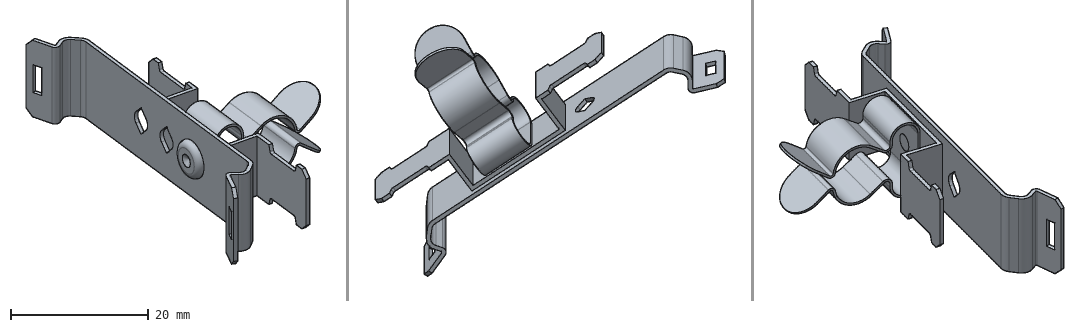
import cadquery as cq
import math

overall_length = 53.35

plate_thickness = 0.65
plate_height = 13.0
plate_flat_half = 20.55
plate_bend_radius = 1.45
slant_angle = 48
slant_length = 1.45
bulge_angle = 78
neck_length = 1.0
neck_radius = 0.5
tab_angle = 21
tab_chamfer = 1.2
slot_width = 1.5
slot_height = 4.7
slot_setback = 2.05

hole_pitch = 6.5
diamond_half_diagonal = 2.25
diamond_side_radius = 1.4

bracket_thickness = 0.65
bracket_height = 10.15
bracket_depth = 6.6
bracket_left = -3.05
bracket_right = 13.55
left_arm_end = -14.1
right_arm_end = 26.1
arm_end_chamfer = 1.1
notch_length = 7.0
notch_depth = 1.3
notch_slope = 0.4
notch_corner_radius = 0.4
left_notch_middle = -8.1
right_notch_middle = 20.05

spring_x = hole_pitch
spring_thickness = 0.4
spring_width = 8.1
web_half = 3.95
loop_outer_radius = 2.5
loop_drop = 0.6
valley_radius = 0.8
arm_angle = 35
arm_length = 2.6
jaw_radius = 3.9
jaw_end_angle = -82
mouth_radius = 0.55
lip_angle = 37
lip_length = 6.45
tip_flat = 0.1

rivet_head_radius = 3.05
rivet_head_height = 1.0
rivet_shank_radius = 1.35
dimple_radius = 1.0
dimple_depth = 0.65


def shift(point, angle, distance):
    """Point reached by moving a distance in a direction given in degrees."""
    turn = math.radians(angle)
    return (point[0] + distance * math.cos(turn), point[1] + distance * math.sin(turn))


def bend_point(point, heading, radius, turn):
    """Point reached on an arc that leaves a point along a heading and turns by an angle."""
    to_centre = heading + math.copysign(90, turn)
    centre = shift(point, to_centre, radius)
    return shift(centre, to_centre + 180 + turn, radius)


def path_end(start, heading, moves):
    """End point and heading of a path of straight runs ("run", length) and bends
    ("bend", radius, turn)."""
    point = start
    for kind, size, *turns in moves:
        if kind == "bend":
            point = bend_point(point, heading, size, turns[0])
            heading += turns[0]
        else:
            point = shift(point, heading, size)
    return point, heading


def bent_strip(plane, start, heading, moves, thickness, width):
    """Sheet strip of even thickness along a centreline path, centred across its width."""
    half = thickness / 2

    def both_sides(moves_done):
        point, direction = path_end(start, heading, moves_done)
        return shift(point, direction + 90, half), shift(point, direction - 90, half)

    ends = [both_sides([])]
    middles = []
    for count, (kind, size, *turns) in enumerate(moves):
        half_move = (kind, size, turns[0] / 2) if kind == "bend" else (kind, size / 2)
        middles.append((kind, both_sides(moves[:count] + [half_move])))
        ends.append(both_sides(moves[: count + 1]))

    outline = cq.Workplane(plane).moveTo(*ends[0][0])
    for (kind, middle), end in zip(middles, ends[1:]):
        outline = outline.threePointArc(middle[0], end[0]) if kind == "bend" else outline.lineTo(*end[0])
    outline = outline.lineTo(*ends[-1][1])
    for (kind, middle), end in zip(reversed(middles), reversed(ends[:-1])):
        outline = outline.threePointArc(middle[1], end[1]) if kind == "bend" else outline.lineTo(*end[1])
    return outline.close().extrude(width / 2, both=True)


def rivet_bore():
    """Cylinder on the rivet axis, from the front of the plate to the inside of the spring web."""
    length = plate_thickness + bracket_thickness + spring_thickness
    front = cq.Workplane("XZ", origin=(spring_x, -plate_thickness, 0))
    return front.circle(rivet_shank_radius).extrude(-length)


def diamond_hole(x):
    """Upright square hole through the plate, with its two side corners rounded."""
    reach = diamond_half_diagonal
    corners = [(x - reach, 0), (x, reach), (x + reach, 0), (x, -reach)]
    diamond = cq.Workplane("XZ").polyline(corners).close().extrude(plate_thickness)
    return diamond.edges("<X or >X").fillet(diamond_side_radius)


def make_plate():
    """Straight middle with a bulge and a slotted, chamfered tab bent at each end."""
    moves = [
        ("run", plate_flat_half),
        ("bend", plate_bend_radius, -slant_angle),
        ("run", slant_length),
        ("bend", plate_bend_radius, -bulge_angle),
        ("run", neck_length),
        ("bend", neck_radius, slant_angle + bulge_angle - tab_angle),
    ]
    start = (0, -plate_thickness / 2)
    tab_start, heading = path_end(start, 0, moves)
    end_corner_x = overall_length / 2 - plate_thickness / 2 * math.sin(math.radians(tab_angle))
    tab_length = (end_corner_x - tab_start[0]) / math.cos(math.radians(tab_angle))
    moves.append(("run", tab_length))
    tab_end = shift(tab_start, heading, tab_length)

    half = bent_strip("XY", start, 0, moves, plate_thickness, plate_height)
    along = cq.Vector(*shift((0, 0), heading, 1))
    across = cq.Vector(*shift((0, 0), heading + 90, 1))
    half = half.edges(cq.ParallelDirSelector(across)).edges(">X").chamfer(tab_chamfer)
    slot_middle = shift(tab_end, heading, -slot_setback)
    slot_plane = cq.Plane(origin=(*slot_middle, 0), xDir=along, normal=across)
    slot = cq.Workplane(slot_plane).rect(slot_width, slot_height).extrude(plate_thickness, both=True)
    half = half.cut(slot)
    plate = half.union(half.mirror("YZ"))
    for x in (-hole_pitch, 0):
        plate = plate.cut(diamond_hole(x))
    return plate.cut(rivet_bore())


def rim_notch(x):
    """Notch in the upper rim of an arm, with sloping walls and rounded floor corners."""
    top = bracket_height / 2
    floor = top - notch_depth
    half_top = notch_length / 2
    half_floor = half_top - notch_slope
    corners = [(x - half_top, top), (x - half_floor, floor), (x + half_floor, floor), (x + half_top, top)]
    notch = cq.Workplane("XZ").polyline(corners).close().extrude(-bracket_depth)
    return notch.edges("|Y and <Z").fillet(notch_corner_radius)


def make_bracket():
    """Hat profile with two arms, each notched in its upper and lower rim."""
    t = bracket_thickness
    corners = [
        (left_arm_end, bracket_depth),
        (bracket_left + t, bracket_depth),
        (bracket_left + t, t),
        (bracket_right - t, t),
        (bracket_right - t, bracket_depth),
        (right_arm_end, bracket_depth),
        (right_arm_end, bracket_depth - t),
        (bracket_right, bracket_depth - t),
        (bracket_right, 0),
        (bracket_left, 0),
        (bracket_left, bracket_depth - t),
        (left_arm_end, bracket_depth - t),
    ]
    bracket = cq.Workplane("XY").polyline(corners).close().extrude(bracket_height / 2, both=True)
    bracket = bracket.edges("|Y").edges("<X or >X").chamfer(arm_end_chamfer)
    for x in (left_notch_middle, right_notch_middle):
        notch = rim_notch(x)
        bracket = bracket.cut(notch).cut(notch.mirror("XY"))
    return bracket.cut(rivet_bore())


def make_spring():
    """Flat web with a loop, a round jaw and a flared lip above, mirrored below."""
    moves = [
        ("run", web_half),
        ("bend", loop_outer_radius - spring_thickness / 2, -180),
        ("run", loop_drop),
        ("bend", valley_radius, 90 + arm_angle),
        ("run", arm_length),
        ("bend", jaw_radius, jaw_end_angle - arm_angle),
        ("bend", mouth_radius, lip_angle - jaw_end_angle),
        ("run", lip_length),
    ]
    start = (bracket_thickness + spring_thickness / 2, 0)
    upper = bent_strip("YZ", start, 90, moves, spring_thickness, spring_width)
    across = cq.Vector(0, *shift((0, 0), lip_angle + 90, 1))
    tip_radius = (spring_width - tip_flat) / 2
    upper = upper.edges(cq.ParallelDirSelector(across)).fillet(tip_radius)
    spring = upper.union(upper.mirror("XY")).translate((spring_x, 0, 0))
    return spring.cut(rivet_bore())


def make_rivet():
    """Head with a rounded rim and a conical dimple, revolved in one piece with the shank."""
    rim_radius = rivet_head_height
    flat_radius = rivet_head_radius - rim_radius
    head_back = -plate_thickness
    head_front = head_back - rivet_head_height
    shank_end = bracket_thickness + spring_thickness
    rim_step = rim_radius * math.sqrt(0.5)
    rim_middle = (flat_radius + rim_step, head_back - rim_step)
    profile = (
        cq.Workplane("XY")
        .moveTo(0, head_front + dimple_depth)
        .lineTo(dimple_radius, head_front)
        .lineTo(flat_radius, head_front)
        .threePointArc(rim_middle, (rivet_head_radius, head_back))
        .lineTo(rivet_shank_radius, head_back)
        .lineTo(rivet_shank_radius, shank_end)
        .lineTo(0, shank_end)
        .close()
    )
    rivet = profile.revolve(360, (0, 0, 0), (0, 1, 0))
    return rivet.translate((spring_x, 0, 0))


plate = make_plate()
bracket = make_bracket()
spring = make_spring()
rivet = make_rivet()

result = cq.Compound.makeCompound([plate.val(), bracket.val(), spring.val(), rivet.val()])